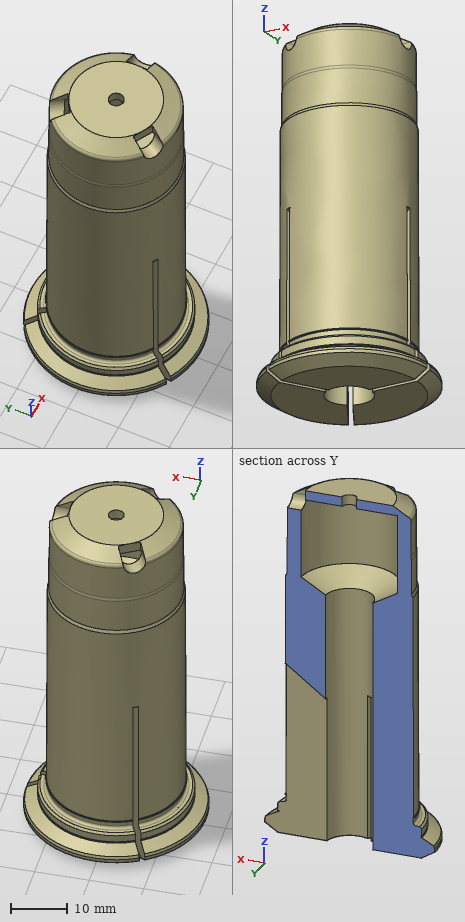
import cadquery as cq
import math

height = 67.9
flange_radius = 33.0 / 2

bottom_radius = 13.9
rim_bottom_z = 1.6
rim_top_z = 2.3
upper_cone_radius = 16.3
upper_cone_bottom_z = 2.85
collar_base_z = 4.1
collar_groove_depth = 0.15
collar_groove_height = 0.2

collar_radius = 14.0
collar_top_z = 6.2
collar_edge = 0.4
neck_radius = 12.35
neck_bottom_z = 6.7
neck_fillet = neck_bottom_z - collar_top_z

barrel_foot_z = 7.9
barrel_foot_radius = 12.4
bead_radius = 12.55
bead_height = 0.2
barrel_top_z = 50.65
barrel_top_radius = 12.3
shoulder_height = 0.6

head_radius = 23.8 / 2
lower_head_radius = 12.0
head_step_z = 57.9
head_step_height = 0.6
nose_round_bottom_z = 65.4
nose_round_top_z = 66.15
nose_round_top_radius = 11.5
nose_round_mid_z = 65.85
nose_round_mid_radius = 11.8
nose_radius = 8.4

chamber_radius = 18.5 / 2
chamber_top_z = 66.0
chamber_floor_z = 50.9
funnel_slope = 30
rod_bore_radius = 9.0 / 2
top_hole_radius = 2.8 / 2

arm_angles = (0, 120, 240)
slit_width = 1.0
slit_top_z = 33.5
slit_inner_top_z = 27.85
notch_width = 4.15
notch_floor_z = 63.95
notch_wall_x = 8.4


def make_outer_body():
    """Revolve the outer half profile about Z."""
    fillet_offset = neck_fillet * (1 - math.sqrt(0.5))
    return (
        cq.Workplane("XZ")
        .lineTo(bottom_radius, 0)
        .lineTo(flange_radius, rim_bottom_z)
        .lineTo(flange_radius, rim_top_z)
        .lineTo(upper_cone_radius, upper_cone_bottom_z)
        .lineTo(collar_radius, collar_base_z)
        .lineTo(collar_radius - collar_groove_depth, collar_base_z)
        .lineTo(collar_radius - collar_groove_depth, collar_base_z + collar_groove_height)
        .lineTo(collar_radius, collar_base_z + collar_groove_height)
        .lineTo(collar_radius, collar_top_z - collar_edge)
        .lineTo(collar_radius - collar_edge, collar_top_z)
        .lineTo(neck_radius + neck_fillet, collar_top_z)
        .threePointArc(
            (neck_radius + fillet_offset, collar_top_z + fillet_offset),
            (neck_radius, neck_bottom_z),
        )
        .lineTo(neck_radius, barrel_foot_z - bead_height)
        .lineTo(bead_radius, barrel_foot_z - bead_height)
        .lineTo(bead_radius, barrel_foot_z)
        .lineTo(barrel_foot_radius, barrel_foot_z)
        .lineTo(barrel_top_radius, barrel_top_z)
        .lineTo(lower_head_radius, barrel_top_z + shoulder_height)
        .lineTo(lower_head_radius, head_step_z)
        .lineTo(head_radius, head_step_z + head_step_height)
        .lineTo(head_radius, nose_round_bottom_z)
        .threePointArc(
            (nose_round_mid_radius, nose_round_mid_z),
            (nose_round_top_radius, nose_round_top_z),
        )
        .lineTo(nose_radius, height)
        .lineTo(0, height)
        .close()
        .revolve(360, (0, 0, 0), (0, 1, 0))
    )


def make_bore():
    """Revolve the bore: rod bore, funnel, head chamber and top hole."""
    funnel_height = (chamber_radius - rod_bore_radius) * math.tan(math.radians(funnel_slope))
    return (
        cq.Workplane("XZ")
        .lineTo(rod_bore_radius, 0)
        .lineTo(rod_bore_radius, chamber_floor_z - funnel_height)
        .lineTo(chamber_radius, chamber_floor_z)
        .lineTo(chamber_radius, chamber_top_z)
        .lineTo(top_hole_radius, chamber_top_z)
        .lineTo(top_hole_radius, height)
        .lineTo(0, height)
        .close()
        .revolve(360, (0, 0, 0), (0, 1, 0))
    )


def make_slit():
    """Radial slit on the +X side, from the rod bore outward, with its roof sloping down inward."""
    return (
        cq.Workplane("XZ")
        .lineTo(flange_radius, 0)
        .lineTo(flange_radius, slit_top_z)
        .lineTo(barrel_top_radius, slit_top_z)
        .lineTo(rod_bore_radius, slit_inner_top_z)
        .lineTo(0, slit_inner_top_z)
        .close()
        .extrude(slit_width / 2, both=True)
    )


def make_notch():
    """Round-bottomed notch on the +X side, open to the head chamber."""
    half_width = notch_width / 2
    round_center_z = notch_floor_z + half_width
    return (
        cq.Workplane("YZ", origin=(notch_wall_x, 0, 0))
        .moveTo(-half_width, height)
        .lineTo(-half_width, round_center_z)
        .threePointArc((0, notch_floor_z), (half_width, round_center_z))
        .lineTo(half_width, height)
        .close()
        .extrude(flange_radius - notch_wall_x)
    )


result = make_outer_body().cut(make_bore())
for angle in arm_angles:
    for cutter in (make_slit(), make_notch()):
        result = result.cut(cutter.rotate((0, 0, 0), (0, 0, 1), angle))